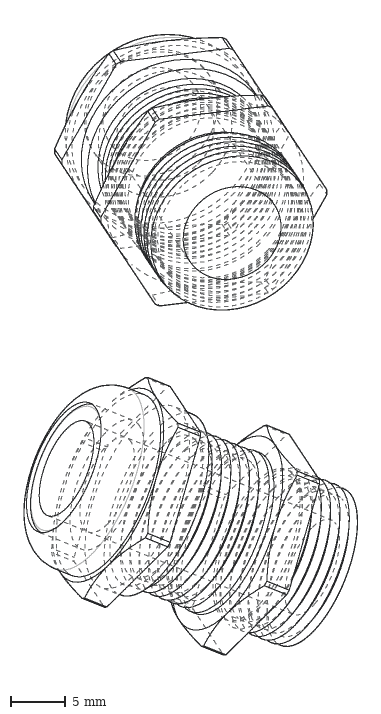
import cadquery as cq
import math


total_length = 27.18
bore_radius = 4.7

nose_radius = 9.0
nose_length = 10.14
dome_fillet = 3.1

seal_radius = 6.41
seal_recess = 0.3
seal_length = 4.45
seal_edge_fillet = 0.3
seal_end = seal_recess + seal_length

hex_across_flats = 19.05
hex_across_corners = 21.72
hex_width = 3.175
hex_sides = 6
hex_chamfer_length = 0.72
nose_hex_start = 4.87
middle_hex_start = 17.9
middle_hex_end = middle_hex_start + hex_width

thread_blank_radius = 8.0
thread_pitch = 1.02
groove_half_width = 0.567
flank_slope = math.tan(math.radians(60.0))
root_radius = thread_blank_radius - groove_half_width * flank_slope
crest_radius = root_radius + thread_pitch / 2 * flank_slope
middle_groove_count = 7
end_groove_count = 6
end_groove_runout = 0.455
relief_radius = 7.48

middle_first_root = nose_length + groove_half_width
collar_start = middle_first_root + (middle_groove_count - 1) * thread_pitch + groove_half_width
end_first_root = total_length - end_groove_runout - (end_groove_count - 1) * thread_pitch
end_face_radius = root_radius + end_groove_runout * flank_slope
relief_end = end_first_root - (relief_radius - root_radius) / flank_slope


def thread_points(first_root, groove_count):
    """Root and crest points of a run of grooves, from the first root to the last root."""
    points = [(first_root, root_radius)]
    for index in range(1, groove_count):
        root = first_root + index * thread_pitch
        points.append((root - thread_pitch / 2, crest_radius))
        points.append((root, root_radius))
    return points


def revolve_about_x(profile):
    return profile.close().revolve(360.0, (0, 0, 0), (1, 0, 0))


def make_barrel():
    """Turned shape of the gland: domed nose, both threads, seal socket and bore."""
    dome_centre_radius = nose_radius - dome_fillet
    rim_offset = seal_radius - dome_centre_radius
    dome_length = math.sqrt(dome_fillet**2 - rim_offset**2)
    dome_mid_angle = (math.asin(rim_offset / dome_fillet) + math.pi / 2) / 2
    dome_mid = (
        dome_length - dome_fillet * math.cos(dome_mid_angle),
        dome_centre_radius + dome_fillet * math.sin(dome_mid_angle),
    )

    profile = cq.Workplane("XZ").moveTo(0, seal_radius)
    profile = profile.threePointArc(dome_mid, (dome_length, nose_radius))
    profile = profile.lineTo(nose_length, nose_radius)
    profile = profile.lineTo(nose_length, thread_blank_radius)
    for point in thread_points(middle_first_root, middle_groove_count):
        profile = profile.lineTo(*point)
    profile = profile.lineTo(collar_start, thread_blank_radius)
    profile = profile.lineTo(middle_hex_end, thread_blank_radius)
    profile = profile.lineTo(middle_hex_end, relief_radius)
    profile = profile.lineTo(relief_end, relief_radius)
    for point in thread_points(end_first_root, end_groove_count):
        profile = profile.lineTo(*point)
    profile = profile.lineTo(total_length, end_face_radius)
    profile = profile.lineTo(total_length, bore_radius)
    profile = profile.lineTo(seal_end, bore_radius)
    profile = profile.lineTo(seal_end, seal_radius)
    return revolve_about_x(profile)


def make_hex(start):
    """Hexagonal collar with flats facing +Z and -Z, trimmed corners and a chamfered front."""
    flat_radius = hex_across_flats / 2
    corner_radius = hex_across_corners / 2
    sharp_diameter = hex_across_flats / math.cos(math.pi / hex_sides)

    prism = cq.Workplane("YZ", origin=(start, 0, 0)).polygon(hex_sides, sharp_diameter).extrude(hex_width)
    envelope = (
        cq.Workplane("XZ")
        .moveTo(start, 0)
        .lineTo(start, flat_radius)
        .lineTo(start + hex_chamfer_length, corner_radius)
        .lineTo(start + hex_width, corner_radius)
        .lineTo(start + hex_width, 0)
    )
    collar = prism.intersect(revolve_about_x(envelope))
    hole_radius = (seal_radius + thread_blank_radius) / 2
    hole = cq.Workplane("YZ", origin=(start, 0, 0)).circle(hole_radius).extrude(hex_width)
    return collar.cut(hole)


def make_gland():
    gland = make_barrel()
    for start in (nose_hex_start, middle_hex_start):
        gland = gland.union(make_hex(start))
    return gland


def make_seal():
    """Rubber bush, set back from the rim of the nose, with a rounded front edge."""
    bush = cq.Workplane("YZ", origin=(seal_recess, 0, 0)).circle(seal_radius).extrude(seal_length)
    bush = bush.faces("<X").edges().fillet(seal_edge_fillet)
    bore = cq.Workplane("YZ", origin=(seal_recess, 0, 0)).circle(bore_radius).extrude(seal_length)
    return bush.cut(bore)


gland = make_gland()
seal = make_seal()

result = cq.Compound.makeCompound([gland.val(), seal.val()])